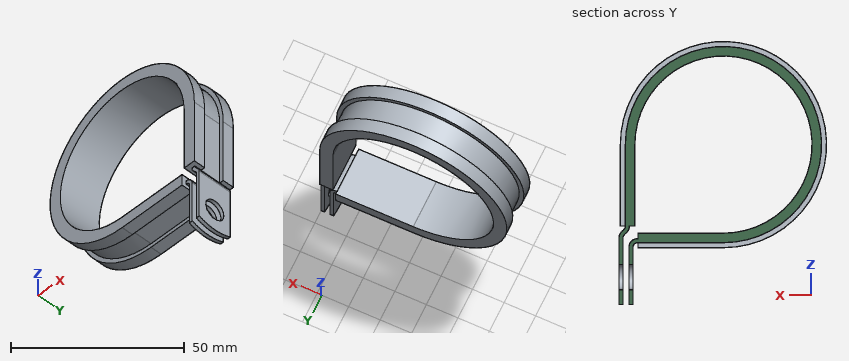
import cadquery as cq
import math

OUTER_RADIUS = 29.65
CUSHION_THICKNESS = 4.2
CUSHION_WIDTH = 15.7
GROOVE_WIDTH = 7.5
GROOVE_DEPTH = 1.4
UPRIGHT_END_Z = -23.45
FOOT_END_X = 24.6

STRAP_THICKNESS = 1.2
STRAP_WIDTH = 12.55
STRAP_OUTER_RADIUS = OUTER_RADIUS - GROOVE_DEPTH
STRAP_MID_RADIUS = STRAP_OUTER_RADIUS - STRAP_THICKNESS / 2

BEND_RADIUS = 1.8
JOG_OFFSET = 1.8
JOG_ANGLE = math.radians(45)
INNER_TAB_OUTER_X = 27.15
INNER_TAB_X = INNER_TAB_OUTER_X - STRAP_THICKNESS / 2
OUTER_TAB_X = STRAP_MID_RADIUS + JOG_OFFSET

OVERALL_HEIGHT = 75.65
TAB_TIP_Z = OUTER_RADIUS - OVERALL_HEIGHT
TIP_SAG = 1.35
BOLT_HOLE_DIAMETER = 7.2
HOLE_ABOVE_TIP = 7.95


def extrude_centered(sketch, width):
    """Extrude an XZ outline equally to both sides of the middle plane."""
    return sketch.extrude(width / 2, both=True)


def loop_outline(outer, inner):
    """Three-quarter ring with straight legs running down and to the right."""
    outer_mid = outer * math.sqrt(0.5)
    inner_mid = inner * math.sqrt(0.5)
    return (
        cq.Workplane("XZ")
        .moveTo(outer, UPRIGHT_END_Z)
        .lineTo(outer, 0)
        .threePointArc((-outer_mid, outer_mid), (0, -outer))
        .lineTo(FOOT_END_X, -outer)
        .lineTo(FOOT_END_X, -inner)
        .lineTo(0, -inner)
        .threePointArc((-inner_mid, inner_mid), (inner, 0))
        .lineTo(inner, UPRIGHT_END_Z)
        .close()
    )


def make_cushion():
    inner = OUTER_RADIUS - CUSHION_THICKNESS
    body = extrude_centered(loop_outline(OUTER_RADIUS, inner), CUSHION_WIDTH)
    groove = extrude_centered(loop_outline(OUTER_RADIUS, STRAP_OUTER_RADIUS), GROOVE_WIDTH)
    return body.cut(groove)


def thicken(path):
    """Give a centre line the strap thickness and width."""
    return extrude_centered(path.offset2D(STRAP_THICKNESS / 2), STRAP_WIDTH)


def make_inner_tab():
    """Leave the foot horizontally and turn down through a right angle."""
    center_x = INNER_TAB_X - BEND_RADIUS
    center_z = -STRAP_MID_RADIUS - BEND_RADIUS
    bend_mid = BEND_RADIUS * math.sqrt(0.5)
    path = (
        cq.Workplane("XZ")
        .moveTo(FOOT_END_X - STRAP_THICKNESS, -STRAP_MID_RADIUS)
        .lineTo(center_x, -STRAP_MID_RADIUS)
        .threePointArc((center_x + bend_mid, center_z + bend_mid), (INNER_TAB_X, center_z))
        .lineTo(INNER_TAB_X, TAB_TIP_Z)
    )
    return thicken(path)


def make_outer_tab():
    """Leave the upright downward and jog outward through two equal bends."""
    bend_shift = BEND_RADIUS * (1 - math.cos(JOG_ANGLE))
    bend_drop = BEND_RADIUS * math.sin(JOG_ANGLE)
    slant_drop = (JOG_OFFSET - 2 * bend_shift) / math.tan(JOG_ANGLE)
    jog_end_z = UPRIGHT_END_Z - 2 * bend_drop - slant_drop
    path = (
        cq.Workplane("XZ")
        .moveTo(STRAP_MID_RADIUS, UPRIGHT_END_Z + STRAP_THICKNESS)
        .lineTo(STRAP_MID_RADIUS, UPRIGHT_END_Z)
        .tangentArcPoint((bend_shift, -bend_drop))
        .lineTo(OUTER_TAB_X - bend_shift, jog_end_z + bend_drop)
        .tangentArcPoint((bend_shift, -bend_drop))
        .lineTo(OUTER_TAB_X, TAB_TIP_Z)
    )
    return thicken(path)


def make_tab_envelope():
    """Plate outline with a curved tip and a bolt hole, spanning the whole clamp along X."""
    half_width = STRAP_WIDTH / 2
    corner_z = TAB_TIP_Z + TIP_SAG
    span = 2 * OUTER_TAB_X
    plate = (
        cq.Workplane("YZ")
        .moveTo(-half_width, 0)
        .lineTo(-half_width, corner_z)
        .threePointArc((0, TAB_TIP_Z), (half_width, corner_z))
        .lineTo(half_width, 0)
        .close()
        .extrude(span)
    )
    hole = (
        cq.Workplane("YZ")
        .center(0, TAB_TIP_Z + HOLE_ABOVE_TIP)
        .circle(BOLT_HOLE_DIAMETER / 2)
        .extrude(span)
    )
    return plate.cut(hole)


envelope = make_tab_envelope()
result = make_cushion()
for tab in (make_inner_tab(), make_outer_tab()):
    result = result.union(tab.intersect(envelope))